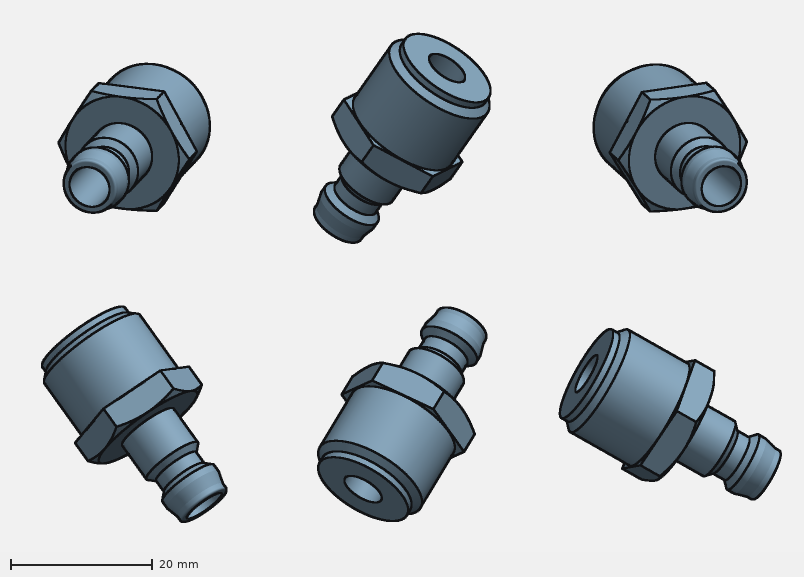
import cadquery as cq
import math

total_length = 30.0

plug_length = 14.0
plug_radius = 4.5
groove_radius = 3.5
tip_radius = 4.0
tip_edge_radius = 0.3
tip_length = 1.0
taper_end = 2.85
groove_front = 5.0
groove_back = 7.0
groove_flank = plug_radius - groove_radius

hex_length = 4.0
across_flats = 17.0
across_corners = across_flats / math.cos(math.pi / 6)
hex_chamfer_angle = math.radians(30)

body_radius = 8.35
collar_radius = 7.23
collar_length = 1.05
body_chamfer_length = 1.05

bore_radius = 3.0


def revolve_about_y(profile):
    return profile.close().revolve(360, (0, 0, 0), (0, 1, 0))


def make_plug():
    profile = (
        cq.Workplane("XY")
        .lineTo(tip_radius - tip_edge_radius, 0)
        .radiusArc((tip_radius, tip_edge_radius), -tip_edge_radius)
        .lineTo(tip_radius, tip_length)
        .lineTo(plug_radius, taper_end)
        .lineTo(plug_radius, groove_front - groove_flank)
        .lineTo(groove_radius, groove_front)
        .lineTo(groove_radius, groove_back)
        .lineTo(plug_radius, groove_back + groove_flank)
        .lineTo(plug_radius, plug_length)
        .lineTo(0, plug_length)
    )
    return revolve_about_y(profile)


def make_hexagon():
    prism = (
        cq.Workplane("XZ", origin=(0, plug_length, 0))
        .polygon(6, across_corners)
        .extrude(-hex_length)
    )
    face_radius = across_flats / 2
    cone_radius = face_radius + hex_length / math.tan(hex_chamfer_angle)
    cone = revolve_about_y(
        cq.Workplane("XY")
        .moveTo(0, plug_length)
        .lineTo(face_radius, plug_length)
        .lineTo(cone_radius, plug_length + hex_length)
        .lineTo(0, plug_length + hex_length)
    )
    return prism.intersect(cone)


def make_body():
    body_start = plug_length + hex_length
    collar_start = total_length - collar_length
    profile = (
        cq.Workplane("XY")
        .moveTo(0, body_start)
        .lineTo(body_radius, body_start)
        .lineTo(body_radius, collar_start - body_chamfer_length)
        .lineTo(collar_radius, collar_start)
        .lineTo(collar_radius, total_length)
        .lineTo(0, total_length)
    )
    return revolve_about_y(profile)


def make_bore():
    return cq.Workplane("XZ").circle(bore_radius).extrude(-total_length)


result = make_plug().union(make_hexagon()).union(make_body()).cut(make_bore())